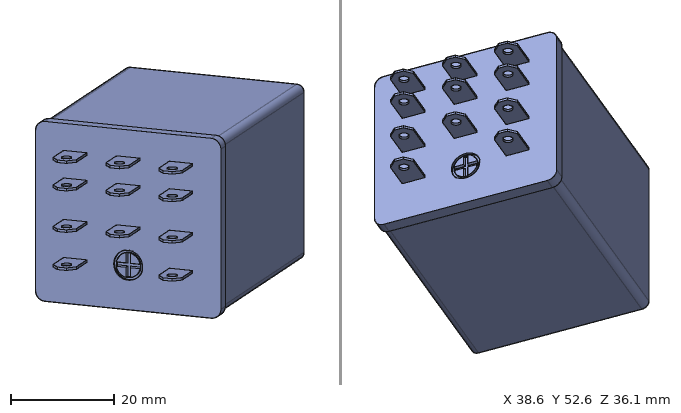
import cadquery as cq

flange_width = 38.6
flange_height = 36.1
flange_thickness = 2.5
flange_corner_radius = 2.0

cover_inset = 0.5
cover_width = flange_width - 2 * cover_inset
cover_height = flange_height - 2 * cover_inset
cover_corner_radius = flange_corner_radius - cover_inset

terminal_length = 7.1
terminal_width = 4.85
terminal_thickness = 0.5
terminal_tip_chamfer = 1.5
terminal_hole_diameter = 2.0
terminal_hole_to_tip = 2.5
column_pitch = 11.0
column_positions = [-column_pitch, 0, column_pitch]
full_row_heights = [12.35, 6.85, -1.5]
bottom_row_height = -9.1

screw_outer_diameter = 6.0
screw_head_diameter = 5.0
screw_groove_depth = 0.5
cross_slot_length = 5.1
cross_slot_width = 0.9
cross_slot_depth = 0.5
cross_slot_draft = 20

total_length = 52.65
tip_y = -total_length / 2
flange_front_y = tip_y + terminal_length
body_length = total_length - terminal_length


def rounded_block(width, height, length, corner_radius):
    """Box running back from the flange front, with its long edges rounded."""
    block = cq.Workplane("XY").box(width, length, height)
    block = block.edges("|Y").fillet(corner_radius)
    return block.translate((0, flange_front_y + length / 2, 0))


def terminal(x, z):
    """Flat tab with a chamfered tip and a round hole."""
    tab = cq.Workplane("XY").box(terminal_width, terminal_length, terminal_thickness)
    tab = tab.edges("|Z and <Y").chamfer(terminal_tip_chamfer)
    hole = (
        cq.Workplane("XY")
        .center(0, terminal_hole_to_tip - terminal_length / 2)
        .circle(terminal_hole_diameter / 2)
        .extrude(terminal_thickness, both=True)
    )
    return tab.cut(hole).translate((x, tip_y + terminal_length / 2, z))


def screw_recess():
    """Material removed to leave the screw: ring groove and cross slot."""
    face = cq.Workplane("XZ", origin=(0, flange_front_y, bottom_row_height))
    groove = face.circle(screw_outer_diameter / 2).circle(screw_head_diameter / 2).extrude(-screw_groove_depth)
    recess = groove
    for width, height in ((cross_slot_length, cross_slot_width), (cross_slot_width, cross_slot_length)):
        slot = face.rect(width, height).extrude(-cross_slot_depth, taper=cross_slot_draft)
        recess = recess.union(slot)
    return recess


flange = rounded_block(flange_width, flange_height, flange_thickness, flange_corner_radius)
cover = rounded_block(cover_width, cover_height, body_length, cover_corner_radius)
result = flange.union(cover).cut(screw_recess())

for row_height in full_row_heights:
    for column in column_positions:
        result = result.union(terminal(column, row_height))

for column in (column_positions[0], column_positions[-1]):
    result = result.union(terminal(column, bottom_row_height))